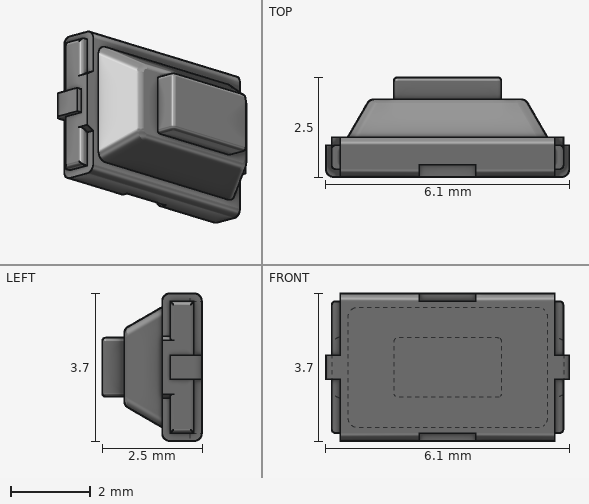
import cadquery as cq

shell_length = 5.38
shell_depth = 1.0
shell_height = 3.7
wall = 0.2

body_length = 5.81
body_edge_radius = 0.1
tab_height = 1.34
tab_root_height = 1.56

clip_span = 6.1
clip_height = 0.61

relief_length = 1.415
relief_depth = 0.31

dome_base_length = 5.0
dome_base_height = 3.015
dome_top = 1.95
dome_taper = 30.0
dome_corner_radius = 0.3
dome_rim_radius = 0.2
button_length = 2.695
button_height = 1.49
button_top = 2.5
button_edge_radius = 0.1


def block(length, y_front, y_back, height):
    """Box centred in X and Z, spanning the given range of Y."""
    box = cq.Workplane("XY").box(length, y_back - y_front, height)
    return box.translate((0, (y_front + y_back) / 2, 0))


def make_shell():
    shell = block(shell_length, 0, shell_depth, shell_height).edges("|X").fillet(wall)
    for side in (-1, 1):
        relief = block(relief_length, 0, relief_depth, wall)
        shell = shell.cut(relief.translate((0, 0, side * (shell_height - wall) / 2)))
    return shell


def make_body():
    body_height = shell_height - 2 * wall
    body = block(body_length, wall, shell_depth - wall, body_height)
    return body.edges("<X or >X").fillet(body_edge_radius)


def make_tabs():
    """Flared tabs that carry the body ends to the back of the shell."""
    root_x = shell_length / 2
    tip_x = body_length / 2
    outline = [
        (-tip_x, -tab_height / 2),
        (-root_x, -tab_root_height / 2),
        (root_x, -tab_root_height / 2),
        (tip_x, -tab_height / 2),
        (tip_x, tab_height / 2),
        (root_x, tab_root_height / 2),
        (-root_x, tab_root_height / 2),
        (-tip_x, tab_height / 2),
    ]
    tab_front = shell_depth - wall - body_edge_radius
    tabs = cq.Workplane("XZ", origin=(0, shell_depth, 0)).polyline(outline).close()
    return tabs.extrude(shell_depth - tab_front)


def make_clips():
    return block(clip_span, 0, shell_depth - wall, clip_height).edges("|Z and <Y").fillet(wall)


def make_dome():
    dome_depth = dome_top - shell_depth
    base = cq.Workplane(cq.Plane(origin=(0, shell_depth, 0), xDir=(1, 0, 0), normal=(0, 1, 0)))
    dome = base.rect(dome_base_length, dome_base_height).extrude(dome_depth, taper=dome_taper)
    dome = dome.edges("not #Y").fillet(dome_corner_radius)
    return dome.faces(">Y").edges().fillet(dome_rim_radius)


def make_button():
    button = block(button_length, shell_depth, button_top, button_height)
    return button.edges("|Y or >Y").fillet(button_edge_radius)


result = make_shell()
for feature in (make_body(), make_tabs(), make_clips(), make_dome(), make_button()):
    result = result.union(feature)